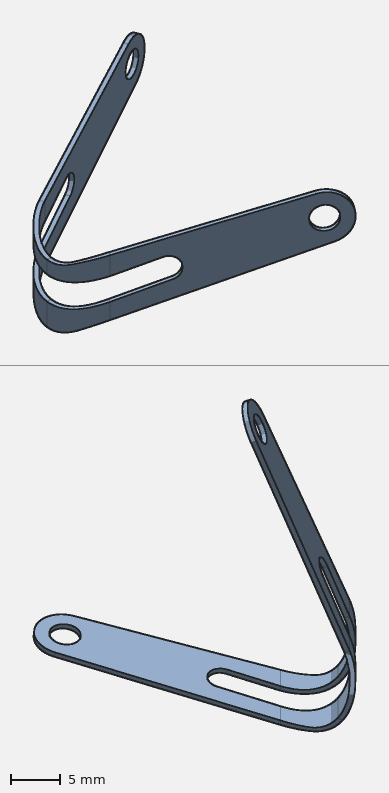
import cadquery as cq
import math

thickness = 0.6
bend_radius = 6.95
half_bend = math.radians(60)
half_width = 18.5

tip_radius = 3.15
tip_height = 13.73
hole_radius = 1.6
top_slope = math.radians(16.0)
bottom_slope = math.radians(19.3)
slot_slope = math.radians(20.0)
slot_radius = 1.48
slot_end = 7.4
slot_height = 6.6

top_apex = 8.3
slot_top_apex = 6.48
slot_bottom_apex = 3.15
bottom_apex = 0.0
curve_steps = 24

bend_half_width = bend_radius * math.sin(half_bend)
arm_length = (half_width - bend_half_width) / math.cos(half_bend)
tip_distance = arm_length - tip_radius
slot_center = slot_end - slot_radius

top_start = tip_height - tip_distance * math.tan(top_slope) + tip_radius / math.cos(top_slope)
bottom_start = tip_height - tip_distance * math.tan(bottom_slope) - tip_radius / math.cos(bottom_slope)
slot_half_height = slot_radius / math.cos(slot_slope)
slot_top_start = slot_height + slot_half_height
slot_bottom_start = slot_height - slot_half_height


def offset_point(center, radius, angle):
    return (center[0] + radius * math.cos(angle), center[1] + radius * math.sin(angle))


def make_arm():
    """Tapered flat arm with a round tip, a hole and the outer end of the slot."""
    plane = cq.Plane(
        origin=(bend_half_width, -bend_radius * math.cos(half_bend), 0),
        xDir=(math.cos(half_bend), math.sin(half_bend), 0),
        normal=(math.sin(half_bend), -math.cos(half_bend), 0),
    )
    tip = (tip_distance, tip_height)
    slot = (slot_center, slot_height + slot_center * math.tan(slot_slope))
    arm = (
        cq.Workplane(plane)
        .moveTo(0, bottom_start)
        .lineTo(*offset_point(tip, tip_radius, bottom_slope - math.pi / 2))
        .threePointArc((arm_length, tip_height), offset_point(tip, tip_radius, top_slope + math.pi / 2))
        .lineTo(0, top_start)
        .close()
        .extrude(-thickness)
    )
    hole = cq.Workplane(plane).center(*tip).circle(hole_radius).extrude(-thickness)
    slot_cut = (
        cq.Workplane(plane)
        .moveTo(0, slot_bottom_start)
        .lineTo(*offset_point(slot, slot_radius, slot_slope - math.pi / 2))
        .threePointArc(
            offset_point(slot, slot_radius, slot_slope),
            offset_point(slot, slot_radius, slot_slope + math.pi / 2),
        )
        .lineTo(0, slot_top_start)
        .close()
        .extrude(-thickness)
    )
    return arm.cut(hole).cut(slot_cut)


def edge_height(x, start, apex, slope):
    """Height of a bend edge: an arc level at the middle, then a tangent line to the arm."""
    rise = start - apex
    angle = math.atan(slope)
    radius = (slope * bend_half_width - rise) / (1 / math.cos(angle) - 1)
    if radius * math.sin(angle) > bend_half_width:
        radius = (bend_half_width**2 + rise**2) / (2 * rise)
        angle = math.asin(bend_half_width / radius)
    if x < radius * math.sin(angle):
        return apex + radius - math.sqrt(radius**2 - x**2)
    return start - slope * (bend_half_width - x)


def bend_edge(radius, start, apex, slope_angle):
    """Edge curve on a cylinder; inner and outer curves share heights along each radius."""
    slope = math.tan(slope_angle) / math.cos(half_bend)
    points = []
    for step in range(curve_steps + 1):
        angle = half_bend * step / curve_steps
        height = edge_height(bend_radius * math.sin(angle), start, apex, slope)
        points.append(cq.Vector(radius * math.sin(angle), -radius * math.cos(angle), height))
    return cq.Edge.makeSpline(points)


def make_strip(lower, upper):
    """Half of one curved strip, enclosed by ruled faces between its four long edges."""
    inner_radius = bend_radius - thickness
    corners = [
        bend_edge(bend_radius, *lower),
        bend_edge(bend_radius, *upper),
        bend_edge(inner_radius, *upper),
        bend_edge(inner_radius, *lower),
    ]
    faces = []
    for first, second in zip(corners, corners[1:] + corners[:1]):
        faces.append(cq.Face.makeRuledSurface(first, second))
    for end in (0, 1):
        outline = [edge.positionAt(end) for edge in corners]
        faces.append(cq.Face.makeFromWires(cq.Wire.makePolygon(outline, close=True)))
    return cq.Workplane(cq.Solid.makeSolid(cq.Shell.makeShell(faces)).fix())


top_edge = (top_start, top_apex, top_slope)
slot_top_edge = (slot_top_start, slot_top_apex, slot_slope)
slot_bottom_edge = (slot_bottom_start, slot_bottom_apex, slot_slope)
bottom_edge = (bottom_start, bottom_apex, bottom_slope)

half = (
    make_arm()
    .union(make_strip(slot_top_edge, top_edge))
    .union(make_strip(bottom_edge, slot_bottom_edge))
)
result = half.union(half.mirror("YZ"))